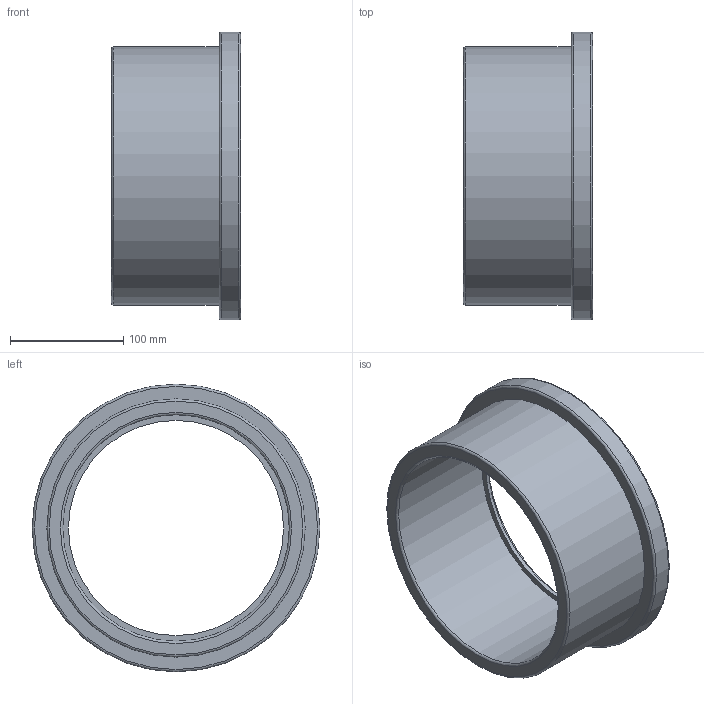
import cadquery as cq
import math

total_length = 114.0
flange_thickness = 19.0
flange_radius = 254.0 / 2
sleeve_radius = 228.0 / 2
bore_radius = 200.0 / 2

lip_radius = 190.0 / 2
lip_thickness = 3.15
main_bore_depth = 106.0

edge_round = 2.0

flange_start = total_length - flange_thickness
lip_end = main_bore_depth + lip_thickness

round_inset = edge_round * (1 - math.sqrt(0.5))


def ring_profile():
    """Half section of the flanged sleeve; local x is the axis, local y the radius."""
    outline = cq.Workplane("XY").moveTo(0, bore_radius + edge_round)

    outline = (
        outline.lineTo(0, sleeve_radius - edge_round)
        .threePointArc((round_inset, sleeve_radius - round_inset), (edge_round, sleeve_radius))
        .lineTo(flange_start, sleeve_radius)
    )

    outline = (
        outline.lineTo(flange_start, flange_radius - edge_round)
        .threePointArc(
            (flange_start + round_inset, flange_radius - round_inset),
            (flange_start + edge_round, flange_radius),
        )
        .lineTo(total_length - edge_round, flange_radius)
        .threePointArc(
            (total_length - round_inset, flange_radius - round_inset),
            (total_length, flange_radius - edge_round),
        )
    )

    outline = (
        outline.lineTo(total_length, bore_radius)
        .lineTo(lip_end, bore_radius)
        .lineTo(lip_end, lip_radius)
        .lineTo(main_bore_depth, lip_radius)
        .lineTo(main_bore_depth, bore_radius)
        .lineTo(edge_round, bore_radius)
    )

    return outline.threePointArc(
        (round_inset, bore_radius + round_inset),
        (0, bore_radius + edge_round),
    ).close()


result = ring_profile().revolve(360, (0, 0, 0), (1, 0, 0))